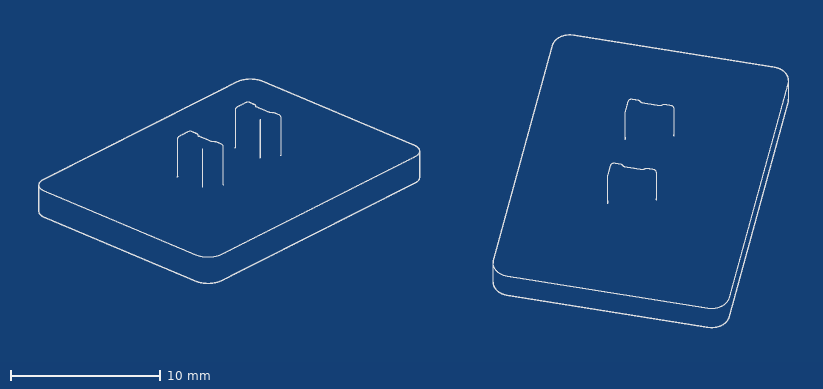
import cadquery as cq
import math

plate_width = 16.15
plate_length = 21.65
plate_thickness = 2.0
plate_corner_radius = 1.21

total_height = 5.2
post_height = total_height - plate_thickness
post_width = 3.15
post_depth = 1.36
post_corner_radius = 0.24
post_spacing = 5.74

recess_half_width = 0.74
recess_depth = 0.17
step_half_run = 0.17

top_fillet = 0.2
base_fillet = 0.2


def make_plate():
    """Flat plate with rounded vertical corners, resting on Z = 0."""
    plate = cq.Workplane("XY").box(plate_width, plate_length, plate_thickness, centered=(True, True, False))
    return plate.edges("|Z").fillet(plate_corner_radius)


def post_outline(center_y):
    """Closed outline of one post: a rounded rectangle narrowed across its middle."""
    half_width = post_width / 2
    half_depth = post_depth / 2
    flat_end = half_width - post_corner_radius
    side_end = half_depth - post_corner_radius
    corner_inset = post_corner_radius * (1 - math.sqrt(0.5))
    corner_x = half_width - corner_inset
    corner_y = half_depth - corner_inset

    step_outer = recess_half_width + step_half_run
    step_inner = recess_half_width - step_half_run
    step_y = half_depth - recess_depth / 2
    recess_y = half_depth - recess_depth

    outline = cq.Workplane("XY").workplane(offset=plate_thickness).center(0, center_y)
    outline = outline.moveTo(-half_width, 0)
    for turn in (1, -1):
        outline = (
            outline.lineTo(-turn * half_width, turn * side_end)
            .threePointArc((-turn * corner_x, turn * corner_y), (-turn * flat_end, turn * half_depth))
            .lineTo(-turn * step_outer, turn * half_depth)
            .tangentArcPoint((-turn * recess_half_width, turn * step_y), relative=False)
            .tangentArcPoint((-turn * step_inner, turn * recess_y), relative=False)
            .lineTo(turn * step_inner, turn * recess_y)
            .tangentArcPoint((turn * recess_half_width, turn * step_y), relative=False)
            .tangentArcPoint((turn * step_outer, turn * half_depth), relative=False)
            .lineTo(turn * flat_end, turn * half_depth)
            .threePointArc((turn * corner_x, turn * corner_y), (turn * half_width, turn * side_end))
        )
    return outline.close()


def make_post(center_y):
    """One post with its top rim rounded."""
    return post_outline(center_y).extrude(post_height).faces(">Z").edges().fillet(top_fillet)


def post_base_edges(body):
    """Edges on the plate's top face where the posts meet it."""
    reach = 0.02
    low = plate_thickness - reach
    high = plate_thickness + reach
    zone_x = post_width / 2 + reach
    zone_y = (post_spacing + post_depth) / 2 + reach
    zone = cq.selectors.BoxSelector((-zone_x, -zone_y, low), (zone_x, zone_y, high))
    return body.edges(zone)


result = make_plate()
for center_y in (-post_spacing / 2, post_spacing / 2):
    result = result.union(make_post(center_y))
result = post_base_edges(result).fillet(base_fillet)